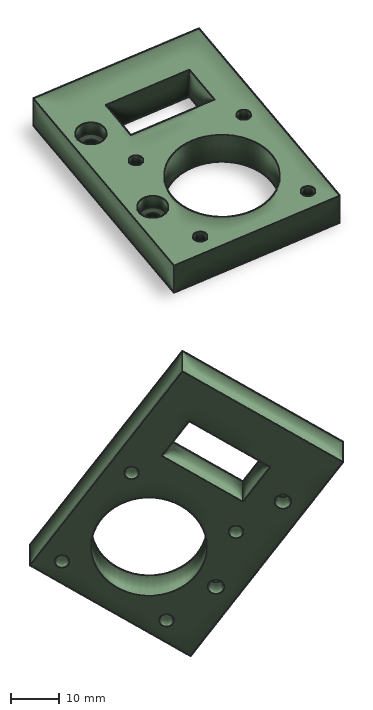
import cadquery as cq

length = 57.0
width = 40.0
thickness = 8.0

opening_x = 11.0
opening_y = 2.0
opening_diameter = 24.0
mount_spacing = 26.0
mount_diameter = 3.0

window_x = -14.0
window_length = 10.2
window_width = 20.2

screw_spacing = 25.0
screw_pair_x = -1.0
screw_edge_distance = 5.0
screw_diameter = 3.4
counterbore_diameter = 6.5
counterbore_depth = 3.5
screw_y = -width / 2 + screw_edge_distance


def make_plate():
    return cq.Workplane("XY").box(length, width, thickness, centered=(True, True, False))


def top_plane(plate, x, y):
    """Work plane on the top face with its origin at (x, y)."""
    return plate.faces(">Z").workplane(origin=(x, y, thickness))


def cut_round_opening(plate):
    plate = top_plane(plate, opening_x, opening_y).hole(opening_diameter)
    corners = top_plane(plate, opening_x, opening_y).rarray(mount_spacing, mount_spacing, 2, 2)
    return corners.hole(mount_diameter)


def cut_window(plate):
    return top_plane(plate, window_x, opening_y).rect(window_length, window_width).cutThruAll()


def cut_screw_holes(plate):
    screws = top_plane(plate, screw_pair_x, screw_y).rarray(screw_spacing, 0.55, 2, 1)
    return screws.cboreHole(screw_diameter, counterbore_diameter, counterbore_depth)


result = cut_screw_holes(cut_window(cut_round_opening(make_plate())))